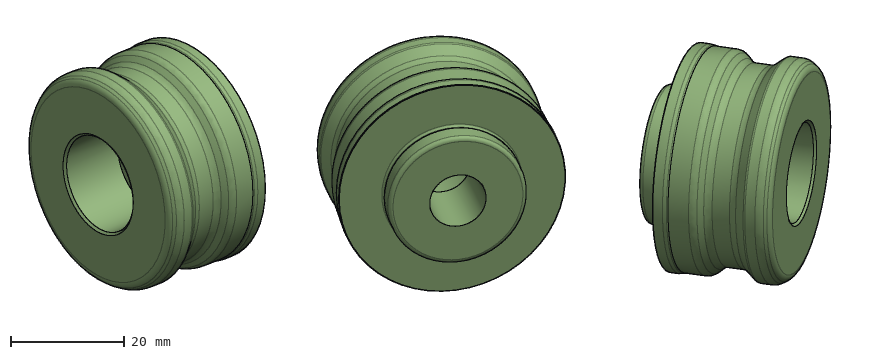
import cadquery as cq

total_length = 26.3
flange_back = 21.45
flange_land_start = 19.55
flange_step = 18.85
flange_foot = 18.6
groove_back_rim = 14.02
groove_back_floor = 11.9
groove_front_floor = 7.18
groove_front_rim = 4.67

flange_radius = 20.5
flange_step_radius = 20.38
body_radius = 20.25
groove_radius = 18.25
boss_radius = 12.5

relief_depth = 0.2
relief_taper_start = 22.5
relief_taper_end = 22.05
relief_fillet = 0.4

nose_width = 1.3
nose_length = 1.85
nose_side_fillet = 2.45
nose_face_fillet = 1.55

groove_fillet = 2.0
groove_front_rim_fillet = 0.57
flange_edge_chamfer = 0.12
boss_edge_fillet = 0.78

pocket_radius = 9.0
pocket_depth = 12.3
pocket_chamfer = 0.45
hole_radius = 5.1
hole_chamfer_width = 1.05
hole_chamfer_depth = 0.6


def turned_body():
    """Solid wheel with sharp groove corners, turned about the Y axis."""
    relief_radius = boss_radius - relief_depth
    outline = [
        (0, 0),
        (body_radius - nose_width, 0),
        (body_radius, nose_length),
        (body_radius, groove_front_rim),
        (groove_radius, groove_front_floor),
        (groove_radius, groove_back_floor),
        (body_radius, groove_back_rim),
        (body_radius, flange_foot),
        (flange_step_radius, flange_step),
        (flange_radius, flange_land_start),
        (flange_radius, flange_back - flange_edge_chamfer),
        (flange_radius - flange_edge_chamfer, flange_back),
        (relief_radius, flange_back),
        (relief_radius, relief_taper_end),
        (boss_radius, relief_taper_start),
        (boss_radius, total_length),
        (0, total_length),
    ]
    return cq.Workplane("XY").polyline(outline).close().revolve(360, (0, 0, 0), (0, 1, 0))


def round_edge(body, radius, station, fillet):
    """Fillet the circular edge of the given radius at a Y station."""
    tolerance = 0.005
    reach = radius + 0.4
    box = cq.selectors.BoxSelector(
        (-reach, station - tolerance, -reach),
        (reach, station + tolerance, reach),
        boundingbox=True,
    )
    circles = body.edges(box).edges("%CIRCLE").vals()
    edges = [edge for edge in circles if abs(edge.radius() - radius) < tolerance]
    return body.newObject(edges).fillet(fillet)


def bore_cutter():
    """Stepped bore with a chamfer at the mouth of each step."""
    outline = [
        (0, 0),
        (pocket_radius + pocket_chamfer, 0),
        (pocket_radius, pocket_chamfer),
        (pocket_radius, pocket_depth),
        (hole_radius + hole_chamfer_width, pocket_depth),
        (hole_radius, pocket_depth + hole_chamfer_depth),
        (hole_radius, total_length),
        (0, total_length),
    ]
    return cq.Workplane("XY").polyline(outline).close().revolve(360, (0, 0, 0), (0, 1, 0))


rounded_edges = [
    (body_radius, nose_length, nose_side_fillet),
    (body_radius - nose_width, 0, nose_face_fillet),
    (body_radius, groove_front_rim, groove_front_rim_fillet),
    (groove_radius, groove_front_floor, groove_fillet),
    (groove_radius, groove_back_floor, groove_fillet),
    (body_radius, groove_back_rim, groove_fillet),
    (boss_radius - relief_depth, flange_back, relief_fillet),
    (boss_radius, total_length, boss_edge_fillet),
]

wheel = turned_body()
for edge_radius, edge_station, edge_fillet in rounded_edges:
    wheel = round_edge(wheel, edge_radius, edge_station, edge_fillet)

result = wheel.cut(bore_cutter())